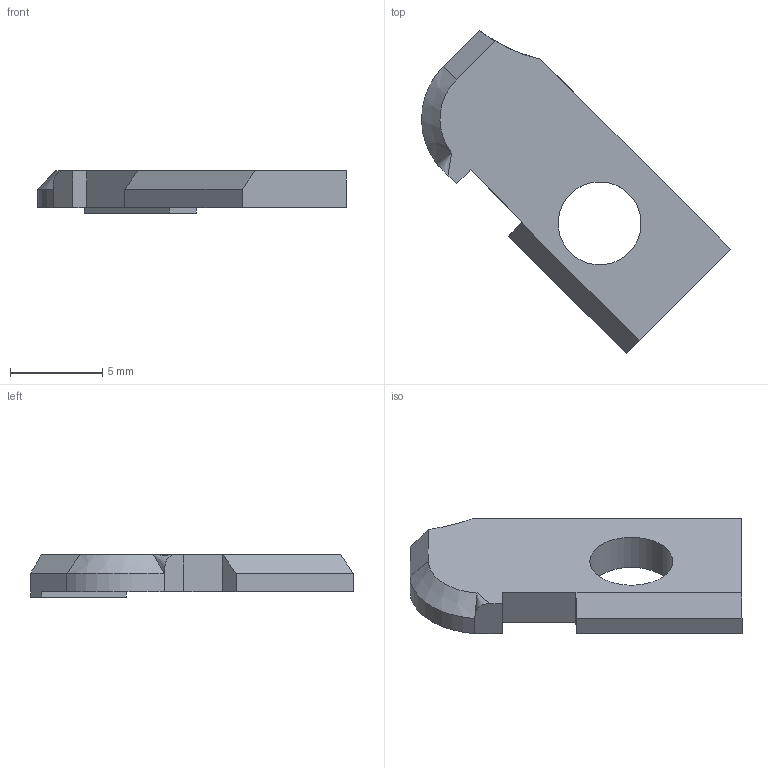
import cadquery as cq
import math

TURN_ANGLE = -45.0

THICKNESS = 2.0
HOLE_DIAMETER = 4.5
WIDTH = 8.0
NEAR_SIDE_V = -3.97
FAR_SIDE_V = NEAR_SIDE_V + WIDTH
TAIL_U = 6.0
NOSE_U = -12.0

NOSE_RADIUS = 4.0
NOSE_CENTER_U = NOSE_U + NOSE_RADIUS

BEVEL = 1.0
BEVEL_Z = THICKNESS - BEVEL

HOLLOW_START_V = 2.785
HOLLOW_END_U = -8.55
HOLLOW_SAG = 0.2

NOTCH_START_U = -7.0
NOTCH_END_U = -3.0
NOTCH_FLOOR_V = -2.9

SCOOP_LENGTH = 0.82

STRIP_HEIGHT = 0.3
STRIP_EDGE_V = 1.93
STRIP_END_U = -5.5

nose_end_u = NOSE_CENTER_U - math.sqrt(NOSE_RADIUS**2 - NEAR_SIDE_V**2)
nose_end_angle = math.atan2(NEAR_SIDE_V, nose_end_u - NOSE_CENTER_U)


def nose_point(radius, angle):
    """Point in plan at the given polar position about the nose arc centre."""
    return (NOSE_CENTER_U + radius * math.cos(angle), radius * math.sin(angle))


def plate(bottom_z, height):
    """Plate outline without the notch, extruded up from bottom_z."""
    nose_mid_angle = (nose_end_angle - math.pi) / 2
    return (
        cq.Workplane("XY", origin=(0, 0, bottom_z))
        .moveTo(NOSE_U, 0)
        .lineTo(NOSE_U, HOLLOW_START_V)
        .sagittaArc((HOLLOW_END_U, FAR_SIDE_V), -HOLLOW_SAG)
        .lineTo(TAIL_U, FAR_SIDE_V)
        .lineTo(TAIL_U, NEAR_SIDE_V)
        .lineTo(nose_end_u, NEAR_SIDE_V)
        .threePointArc(nose_point(NOSE_RADIUS, nose_mid_angle), (NOSE_U, 0))
        .close()
        .extrude(height)
    )


def block(u_range, v_range, z_range):
    """Rectangular block that spans the given ranges."""
    lengths = [end - start for start, end in (u_range, v_range, z_range)]
    corner = (u_range[0], v_range[0], z_range[0])
    return cq.Workplane("XY").box(*lengths, centered=False).translate(corner)


def notch():
    """Rectangular notch through the full thickness."""
    return block((NOTCH_START_U, NOTCH_END_U), (NEAR_SIDE_V, NOTCH_FLOOR_V), (0, THICKNESS))


def hole():
    """Round hole through the full thickness."""
    return cq.Workplane("XY").circle(HOLE_DIAMETER / 2).extrude(THICKNESS)


def bevel_profile(workplane, side):
    """Triangle that the bevel removes from an upper edge at the given side position."""
    return (
        workplane.moveTo(side, BEVEL_Z)
        .lineTo(side + BEVEL, THICKNESS)
        .lineTo(side, THICKNESS)
        .close()
    )


def straight_nose_bevel():
    """Bevel wedge along the straight part of the nose."""
    return bevel_profile(cq.Workplane("XZ"), NOSE_U).extrude(-FAR_SIDE_V)


def round_nose_bevel():
    """Conical bevel wedge swept around the nose arc, from the nose to the near side."""
    sweep_angle = math.degrees(nose_end_angle + math.pi)
    axis_start = (NOSE_CENTER_U, 0)
    axis_end = (NOSE_CENTER_U, THICKNESS)
    return bevel_profile(cq.Workplane("XZ"), NOSE_U).revolve(sweep_angle, axis_start, axis_end)


def near_side_bevel():
    """Bevel wedge along the near side, from the notch to the tail."""
    workplane = cq.Workplane("YZ", origin=(NOTCH_END_U, 0, 0))
    return bevel_profile(workplane, NEAR_SIDE_V).extrude(TAIL_U - NOTCH_END_U)


def bevel_scoop():
    """Cone-like scoop from a rounded corner on the near side to the inner end of the nose bevel."""
    arc_start = cq.Vector(nose_end_u, NEAR_SIDE_V, BEVEL_Z)
    arc_end = cq.Vector(nose_end_u + SCOOP_LENGTH, NEAR_SIDE_V, THICKNESS)
    corner = cq.Vector(nose_end_u, NEAR_SIDE_V, THICKNESS)
    upright = cq.Vector(0, 0, 1)
    level = cq.Vector(1, 0, 0)
    base = cq.Wire.assembleEdges(
        [
            cq.Edge.makeSpline([arc_start, arc_end], tangents=[upright, level]),
            cq.Edge.makeLine(arc_end, corner),
            cq.Edge.makeLine(corner, arc_start),
        ]
    )
    apex = cq.Vertex.makeVertex(*nose_point(NOSE_RADIUS - BEVEL, nose_end_angle), THICKNESS)
    return cq.Workplane(obj=cq.occ_impl.shapes.loft(base, apex, cap=True, ruled=True))


def underside_strip():
    """Strip below the plate that follows the far side of its outline."""
    strip_area = block((NOSE_U, STRIP_END_U), (STRIP_EDGE_V, FAR_SIDE_V), (-STRIP_HEIGHT, 0))
    return plate(-STRIP_HEIGHT, STRIP_HEIGHT).intersect(strip_area)


body = plate(0, THICKNESS)
for removal in (
    notch(),
    hole(),
    straight_nose_bevel(),
    round_nose_bevel(),
    bevel_scoop(),
    near_side_bevel(),
):
    body = body.cut(removal)
body = body.union(underside_strip())

result = body.rotate((0, 0, 0), (0, 0, 1), TURN_ANGLE)